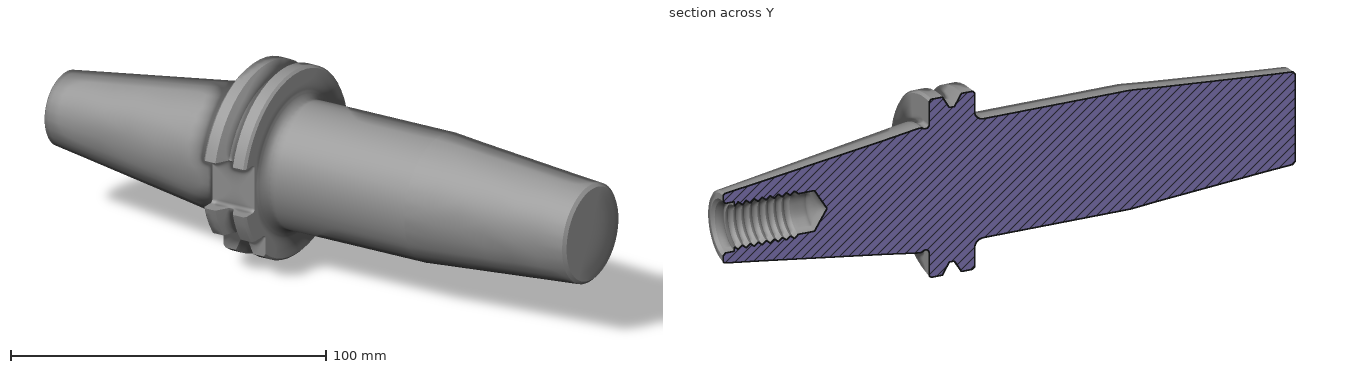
import cadquery as cq
import math

total_length = 198.2
gauge_x = 67.8
flange_start = 71.4
flange_end = 87.2
nose_start = 141.0

flange_radius = 31.7
gauge_radius = 22.2
taper_ratio = 7 / 24
taper_end_radius = gauge_radius - gauge_x * taper_ratio / 2
gauge_land = 1.0
neck_radius = 21.6
neck_start = 69.8
body_radius = 21.2
nose_end_radius = 16.5

taper_end_chamfer = 0.5
flange_chamfer = 0.8
nose_end_chamfer = 1.0
body_fillet = 3.0
neck_fillet = 1.2

groove_center = 79.3
groove_width = 6.5
groove_depth = 4.2
groove_half_angle = math.radians(30)

slot_half_height = 8.1
slot_floor_front = 25.0
slot_floor_back = 22.6
notch_y = 18.5
notch_z = 18.2
cut_corner_radius = 1.2
cutter_overrun = 3.2

bore_mouth_radius = 9.7
bore_mouth_chamfer = 1.0
pilot_radius = bore_mouth_radius - bore_mouth_chamfer
pilot_depth = 4.0
bore_radius = 7.1
bore_depth = 31.7
drill_half_angle = math.radians(59)
thread_radius = 8.3
thread_pitch = 2.8
thread_start = pilot_depth + thread_pitch / 2
thread_count = 8


def revolve_about_x(points):
    """Revolve a closed (x, radius) outline around the X axis."""
    return cq.Workplane("XY").polyline(points).close().revolve(360, (0, 0, 0), (1, 0, 0))


def make_body():
    """Taper, gauge land, flange, cylinder and tapered nose in one revolve."""
    nose_slope = (body_radius - nose_end_radius) / (total_length - nose_start)
    nose_edge_radius = nose_end_radius + nose_slope * nose_end_chamfer
    taper_edge_radius = taper_end_radius + taper_end_chamfer * taper_ratio / 2
    outline = (
        cq.Workplane("XY")
        .lineTo(0, taper_end_radius - taper_end_chamfer)
        .lineTo(taper_end_chamfer, taper_edge_radius)
        .lineTo(gauge_x, gauge_radius)
        .lineTo(gauge_x + gauge_land, gauge_radius)
        .lineTo(neck_start, neck_radius)
        .lineTo(flange_start - neck_fillet, neck_radius)
        .radiusArc((flange_start, neck_radius + neck_fillet), -neck_fillet)
        .lineTo(flange_start, flange_radius - flange_chamfer)
        .lineTo(flange_start + flange_chamfer, flange_radius)
        .lineTo(flange_end - flange_chamfer, flange_radius)
        .lineTo(flange_end, flange_radius - flange_chamfer)
        .lineTo(flange_end, body_radius + body_fillet)
        .radiusArc((flange_end + body_fillet, body_radius), -body_fillet)
        .lineTo(nose_start, body_radius)
        .lineTo(total_length - nose_end_chamfer, nose_edge_radius)
        .lineTo(total_length, nose_end_radius - nose_end_chamfer)
        .lineTo(total_length, 0)
        .close()
    )
    return outline.revolve(360, (0, 0, 0), (1, 0, 0))


def make_groove():
    """Ring with a V section and a narrow flat floor."""
    half_top = groove_width / 2
    half_floor = half_top - groove_depth * math.tan(groove_half_angle)
    floor_radius = flange_radius - groove_depth
    return revolve_about_x([
        (groove_center - half_top, flange_radius),
        (groove_center - half_floor, floor_radius),
        (groove_center + half_floor, floor_radius),
        (groove_center + half_top, flange_radius),
    ])


def flange_cutter(y_min, y_max, z_min, z_max, rounded_edges):
    """Block running through the flange and its fillet, with the chosen lengthwise edges rounded."""
    block = cq.Workplane("XY").box(
        flange_end + cutter_overrun - flange_start, y_max - y_min, z_max - z_min, centered=False
    )
    block = block.translate((flange_start, y_min, z_min))
    return block.edges("|X").edges(rounded_edges).fillet(cut_corner_radius)


def make_bore():
    """Bore with a chamfered mouth, a pilot counterbore, thread grooves and a conical end."""
    cone_tip = bore_depth + bore_radius / math.tan(drill_half_angle)
    bore = revolve_about_x([
        (0, 0),
        (0, bore_mouth_radius),
        (bore_mouth_chamfer, pilot_radius),
        (pilot_depth, pilot_radius),
        (pilot_depth, bore_radius),
        (bore_depth, bore_radius),
        (cone_tip, 0),
    ])
    for index in range(thread_count):
        x = thread_start + index * thread_pitch
        bore = bore.union(revolve_about_x([
            (x - thread_pitch / 2, 0),
            (x - thread_pitch / 2, bore_radius),
            (x, thread_radius),
            (x + thread_pitch / 2, bore_radius),
            (x + thread_pitch / 2, 0),
        ]))
    return bore


reach = flange_radius + 2
front_slot = flange_cutter(-reach, -slot_floor_front, -slot_half_height, slot_half_height, ">Y")
back_slot = flange_cutter(slot_floor_back, reach, -slot_half_height, slot_half_height, "<Y")
notch = flange_cutter(-reach, -notch_y, -reach, -notch_z, ">Y and >Z")

result = make_body()
for cutter in (make_groove(), front_slot, back_slot, notch, make_bore()):
    result = result.cut(cutter)